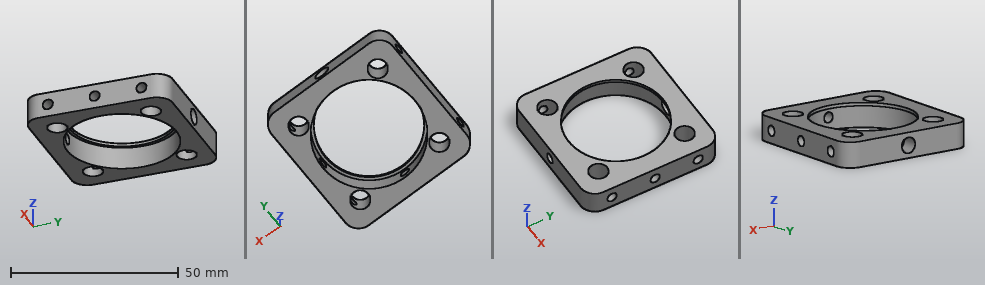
import cadquery as cq

side = 46.0
thickness = 8.0
corner_radius = 5.0
half_side = side / 2
mid_height = thickness / 2

lip_diameter = 33.0
lip_height = 1.0
bore_diameter = 35.0

corner_hole_diameter = 6.1
corner_hole_spacing = 30.0
cross_hole_diameter = 3.2
large_cross_hole_diameter = 4.9


def radial_hole(diameter, direction):
    """Mid-height cylinder from the bore axis out to one side of the plate."""
    start = cq.Vector(0, 0, mid_height)
    return cq.Solid.makeCylinder(diameter / 2, half_side, start, cq.Vector(*direction))


def corner_cross_hole(x_side, y_side):
    """Cylinder from an X side of the plate inward to a corner hole axis."""
    offset = corner_hole_spacing / 2
    start = cq.Vector(x_side * half_side, y_side * offset, mid_height)
    depth = half_side - offset
    return cq.Solid.makeCylinder(cross_hole_diameter / 2, depth, start, cq.Vector(-x_side, 0, 0))


plate = cq.Workplane("XY").box(side, side, thickness, centered=(True, True, False))
plate = plate.edges("|Z").fillet(corner_radius)

plate = plate.cut(cq.Workplane("XY").circle(lip_diameter / 2).extrude(thickness))
plate = plate.cut(cq.Workplane("XY").circle(bore_diameter / 2).extrude(thickness - lip_height))

corner_holes = (
    cq.Workplane("XY")
    .rect(corner_hole_spacing, corner_hole_spacing, forConstruction=True)
    .vertices()
    .circle(corner_hole_diameter / 2)
    .extrude(thickness)
)
plate = plate.cut(corner_holes)

for x_side in (-1, 1):
    for y_side in (-1, 1):
        plate = plate.cut(cq.Workplane(corner_cross_hole(x_side, y_side)))

plate = plate.cut(cq.Workplane(radial_hole(cross_hole_diameter, (0, -1, 0))))
plate = plate.cut(cq.Workplane(radial_hole(cross_hole_diameter, (1, 0, 0))))
plate = plate.cut(cq.Workplane(radial_hole(large_cross_hole_diameter, (0, 1, 0))))

result = plate